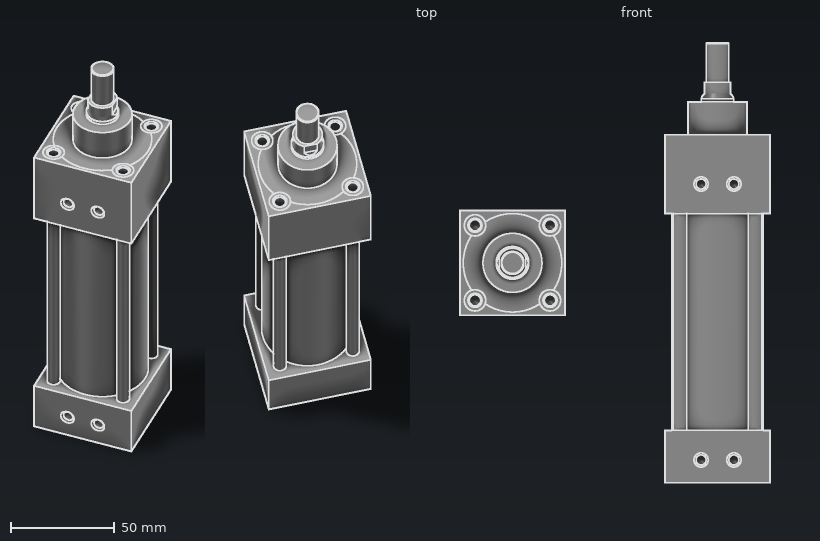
import cadquery as cq
import math

INCH = 25.4

cap_side = 2 * INCH
rear_cap_height = 1 * INCH
head_height = 1.5 * INCH
boss_height = 0.625 * INCH
rod_extension = 1.125 * INCH
overall_height = 212.72

boss_top = overall_height - rod_extension
head_top = boss_top - boss_height
head_bottom = head_top - head_height

tube_diameter = 1.75 * INCH
tie_rod_diameter = 0.25 * INCH
tie_rod_spacing = 36.25
nut_diameter = 10.3
nut_length = 0.75 * INCH
nut_thread_diameter = 5.5
nut_thread_mouth = 6.8
nut_thread_depth = 0.5 * INCH

port_spacing = 0.625 * INCH
port_diameter = 4.9
port_mouth = 6.9
port_depth = 0.375 * INCH
rear_port_height = 0.4375 * INCH
head_port_height = head_bottom + 0.5625 * INCH

flange_diameter = 1.875 * INCH
flange_thickness = 0.25 * INCH
boss_diameter = 1.125 * INCH

collar_diameter = 0.5625 * INCH
cone_diameter = 15.6
rod_diameter = 0.625 * INCH
rod_step_height = 0.0625 * INCH
cone_height = 0.09375 * INCH
stud_length = 0.75 * INCH
stud_diameter = 0.4375 * INCH
stud_chamfer = 0.4
flat_width = 0.5 * INCH
runout_angle = 50

drill_tip_angle = 118


def cylinder(diameter, bottom, top):
    """Cylinder on the Z axis between two heights."""
    return cq.Workplane("XY").workplane(offset=bottom).circle(diameter / 2).extrude(top - bottom)


def block(bottom, top):
    """Square cap centred on the Z axis."""
    return cq.Workplane("XY").workplane(offset=bottom).rect(cap_side, cap_side).extrude(top - bottom)


def at_tie_rods(shape):
    """Four copies of a shape, one on each tie rod axis."""
    half = tie_rod_spacing / 2
    copies = cq.Workplane("XY")
    for x in (-half, half):
        for y in (-half, half):
            copies = copies.add(shape.translate((x, y, 0)))
    return copies.combine()


def drilled_hole(diameter, mouth, depth):
    """Cutter with a 45-degree mouth at Z = 0 and a drill point below the full-diameter depth."""
    tip = diameter / 2 / math.tan(math.radians(drill_tip_angle / 2))
    profile = [
        (0, 0),
        (mouth / 2, 0),
        (diameter / 2, -(mouth - diameter) / 2),
        (diameter / 2, -depth),
        (0, -depth - tip),
    ]
    return cq.Workplane("XZ").polyline(profile).close().revolve(360, (0, 0), (0, 1))


def port_pair(height):
    """Two port cutters entering the -Y face of a cap."""
    cutter = drilled_hole(port_diameter, port_mouth, port_depth).rotate((0, 0, 0), (1, 0, 0), 90)
    left = cutter.translate((-port_spacing / 2, -cap_side / 2, height))
    right = cutter.translate((port_spacing / 2, -cap_side / 2, height))
    return left.add(right).combine()


def make_barrel():
    """Rear cap carrying the tube and the four tie rods, whose nut ends lie flush with the head."""
    tie_rod = cylinder(tie_rod_diameter, rear_cap_height, head_top)
    nut = cylinder(nut_diameter, head_top - nut_length, head_top)
    thread = drilled_hole(nut_thread_diameter, nut_thread_mouth, nut_thread_depth).translate((0, 0, head_top))
    barrel = block(0, rear_cap_height).union(cylinder(tube_diameter, rear_cap_height, head_bottom))
    barrel = barrel.union(at_tie_rods(tie_rod.union(nut).cut(thread)))
    return barrel.cut(port_pair(rear_port_height))


def make_retainer():
    """Flange and boss with a through hole for the piston rod, scalloped around the nuts."""
    flange_bottom = head_top - flange_thickness
    retainer = cylinder(flange_diameter, flange_bottom, head_top)
    retainer = retainer.union(cylinder(boss_diameter, head_top, boss_top))
    retainer = retainer.cut(cylinder(rod_diameter, flange_bottom, boss_top))
    return retainer.cut(at_tie_rods(cylinder(nut_diameter, flange_bottom, head_top)))


def make_head():
    """Front cap with a recess for the retainer and stepped holes for the tie rods."""
    head = block(head_bottom, head_top)
    head = head.cut(cylinder(flange_diameter, head_top - flange_thickness, head_top))
    head = head.cut(at_tie_rods(cylinder(tie_rod_diameter, head_bottom, head_top)))
    head = head.cut(at_tie_rods(cylinder(nut_diameter, head_top - nut_length, head_top)))
    return head.cut(port_pair(head_port_height))


def make_piston_rod():
    """Stepped rod with a tapered shoulder, a collar with two wrench flats and a stud."""
    bottom = head_top - flange_thickness
    step_top = boss_top + rod_step_height
    cone_top = step_top + cone_height
    collar_top = overall_height - stud_length
    profile = [
        (0, bottom),
        (rod_diameter / 2, bottom),
        (rod_diameter / 2, step_top),
        (cone_diameter / 2, step_top),
        (collar_diameter / 2, cone_top),
        (collar_diameter / 2, collar_top),
        (stud_diameter / 2, collar_top),
        (stud_diameter / 2, overall_height - stud_chamfer),
        (stud_diameter / 2 - stud_chamfer, overall_height),
        (0, overall_height),
    ]
    rod = cq.Workplane("XZ").polyline(profile).close().revolve(360, (0, 0), (0, 1))

    flat = flat_width / 2
    runout = rod_diameter / 2 - flat
    runout_height = runout * math.tan(math.radians(runout_angle))
    flat_profile = [
        (flat, collar_top),
        (flat, cone_top),
        (flat + runout, cone_top - runout_height),
        (flat + runout, collar_top),
    ]
    cutter = cq.Workplane("XZ").polyline(flat_profile).close().extrude(rod_diameter / 2, both=True)
    return rod.cut(cutter).cut(cutter.mirror("YZ"))


barrel = make_barrel()
head = make_head()
retainer = make_retainer()
piston_rod = make_piston_rod()

result = cq.Compound.makeCompound([barrel.val(), head.val(), retainer.val(), piston_rod.val()])